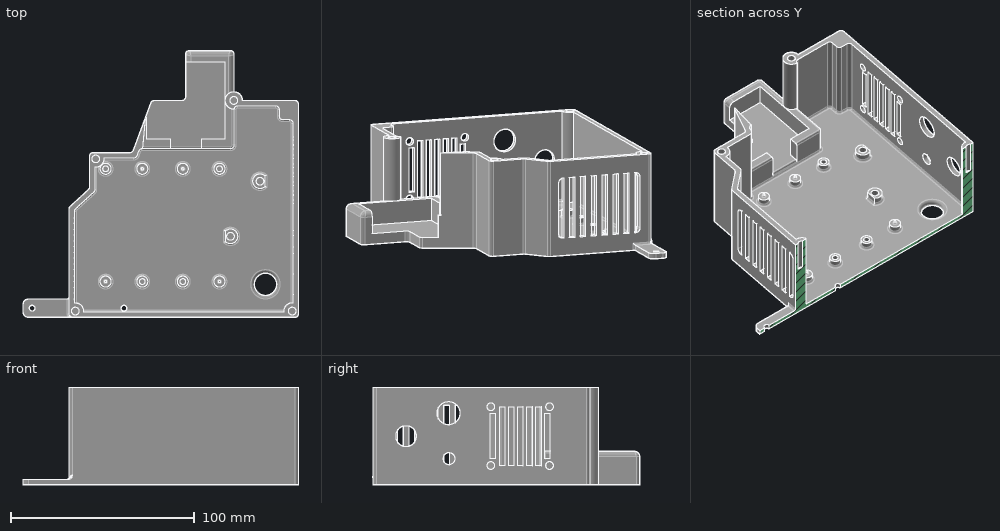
import cadquery as cq
import math

length = 150.0
depth = 145.2
height = 53.0
wall = 3.0
floor = 3.0
small_fillet = 1.0
corner_radius = 2.0
over = 1.5
near = 0.2

left_x = 25.0
notch_low_y = 59.8
notch_x = 36.2
notch_high_y = 70.0
shoulder_y = 89.7
slant_x = 59.5
back_y = 118.0
slant_top_x = 70.0

tab_width = 10.0
tab_thickness = 3.0
tab_radius = 3.0
tab_hole_diameter = 3.0
tab_hole_x = tab_width / 2
floor_hole_x = tab_hole_x + 50.0

tower_left_x = 88.5
tower_right_x = 114.9
tower_fillet = 3.0
terminal_height = 18.3
terminal_front_y = 91.8
pocket_floor = 6.0
pocket_left_x = 67.4
pocket_right_x = 110.0
pocket_front_y = 97.0
pocket_back_y = 139.0
side_opening_y = 108.8
gap_left_x = 80.2
gap_right_x = 97.0
slant_wall_foot_x = 65.1
slant_wall_tip_x = 66.6
slant_wall_tip_y = 107.7

boss_diameter = 9.0
rear_boss_diameter = 9.5
lid_hole_diameter = 4.2
lid_hole_depth = 20.0
lid_inset = 3.5
lid_points = [
    (left_x + lid_inset, lid_inset),
    (length - lid_inset, lid_inset),
    (notch_x + lid_inset, shoulder_y - lid_inset),
]
rear_boss = (114.8, back_y)
corner_block_x = 139.5
corner_block_y = 107.5

mount_diameter = 6.0
mount_height = 4.0
mount_hole_diameter = 3.2
pin_diameter = 1.2
pin_height = 1.5
pin_fillet = 0.5
mount_columns = [45.0, 65.0, 87.0, 107.0]
mount_front_y = 19.5
mount_rear_y = 80.8
flat_mount_diameter = 8.0
flat_mount_height = 4.5
flat_mount_hole_diameter = 4.2
flat_distance = 2.7
flat_mounts = [
    ((129.0, 74.1), 1),
    ((113.0, 44.1), -1),
]

cable_hole_diameter = 12.0
cable_hole_fillet = 2.0
cable_hole_center = (132.0, 18.0)
vent_center_y = 30.6
vent_slot_count = 8
vent_slot_width = 3.0
vent_pitch = 6.3
vent_height = 33.5
vent_corner_radius = 2.5
fan_y = 80.1
fan_hole_spacing = 32.0
fan_hole_diameter = 4.2
fan_slot_count = 7
fan_slot_pitch = 5.0
fan_slot_width = 3.0
fan_slot_height = 32.0
fan_end_slot_height = 24.6
side_holes = [
    (12.5, 41.1, 39.0),
    (6.5, 41.4, 14.2),
    (11.2, 18.0, height / 2),
]


def block(x_range, y_range, z_range):
    """Box between two limits along each axis."""
    sizes = [high - low for low, high in (x_range, y_range, z_range)]
    corner = (x_range[0], y_range[0], z_range[0])
    return cq.Workplane("XY").box(*sizes, centered=False).translate(corner)


def prism(points, bottom, top):
    """Upright prism over a polygon."""
    return cq.Workplane("XY").workplane(offset=bottom).polyline(points).close().extrude(top - bottom)


def cylinder(center, diameter, bottom, top):
    """Upright cylinder."""
    base = cq.Workplane("XY").workplane(offset=bottom).center(*center)
    return base.circle(diameter / 2).extrude(top - bottom)


def side_cylinder(diameter, y, z):
    """Cylinder along X through the right wall."""
    plane = cq.Workplane("YZ", origin=(length - wall - over, 0, 0))
    return plane.center(y, z).circle(diameter / 2).extrude(wall + 2 * over)


diagonal_slope = (notch_x - left_x) / (notch_high_y - notch_low_y)
slant_slope = (slant_top_x - slant_x) / (back_y - shoulder_y)


def diagonal_inner_y(x):
    """Y of the inner face of the diagonal wall at a given X."""
    shift = wall * math.hypot(1, diagonal_slope)
    return notch_low_y + (x - left_x - shift) / diagonal_slope


def slant_outer_x(y):
    """X of the outer face of the slanted wall at a given Y."""
    return slant_x + slant_slope * (y - shoulder_y)


def slant_inner_x(y):
    """X of the inner face of the slanted wall at a given Y."""
    return slant_outer_x(y) + wall * math.hypot(1, slant_slope)


def make_outline_solid(top):
    """Solid over the outer outline, with rounded vertical corners."""
    outline = [
        (left_x, 0),
        (length, 0),
        (length, back_y),
        (tower_right_x, back_y),
        (tower_right_x, depth),
        (tower_left_x, depth),
        (tower_left_x, back_y),
        (slant_top_x, back_y),
        (slant_x, shoulder_y),
        (notch_x, shoulder_y),
        (notch_x, notch_high_y),
        (left_x, notch_low_y),
    ]
    solid = prism(outline, 0, top)
    for x, y in outline:
        if (x, y) != (tower_right_x, back_y):
            corner = cq.selectors.BoxSelector((x - near, y - near, 0), (x + near, y + near, top))
            solid = solid.edges(corner).fillet(corner_radius)
    return solid


def make_tall_solid():
    """Part of the outline solid that reaches the full height."""
    above_terminal = [
        (slant_wall_foot_x, terminal_front_y),
        (tower_right_x, terminal_front_y),
        (tower_right_x, back_y),
        (tower_right_x + over, back_y),
        (tower_right_x + over, depth + over),
        (left_x, depth + over),
        (left_x, slant_wall_tip_y),
        (slant_wall_tip_x, slant_wall_tip_y),
    ]
    return make_outline_solid(height).cut(prism(above_terminal, 0, height + over))


def make_pocket():
    """Terminal pocket, open to the left and to the box."""
    levels = (pocket_floor, terminal_height + over)
    main = block((pocket_left_x, pocket_right_x), (pocket_front_y, pocket_back_y), levels)
    side = block((slant_x, pocket_left_x), (side_opening_y, pocket_back_y), levels)
    gap = block((gap_left_x, gap_right_x), (terminal_front_y, pocket_front_y), levels)
    return main.union(side).union(gap)


def make_cavity():
    """Inside of the box, rounded at its corners and at the floor."""
    inner_left = left_x + wall
    inner_notch = notch_x + wall
    inner_right = length - wall
    inner_shoulder = shoulder_y - wall
    outline = [
        (inner_left, wall),
        (inner_right, wall),
        (inner_right, corner_block_y),
        (corner_block_x, corner_block_y),
        (corner_block_x, back_y - wall),
        (tower_right_x, back_y - wall),
        (tower_right_x, terminal_front_y),
        (slant_inner_x(terminal_front_y), terminal_front_y),
        (slant_inner_x(inner_shoulder), inner_shoulder),
        (inner_notch, inner_shoulder),
        (inner_notch, diagonal_inner_y(inner_notch)),
        (inner_left, diagonal_inner_y(inner_left)),
    ]
    cavity = prism(outline, floor, height + over)
    return cavity.edges("|Z").fillet(corner_radius).faces("<Z").edges().fillet(small_fillet)


def round_tower(body):
    """Round the upper outer edges of the tower."""
    level = terminal_height
    rim_zones = [
        ((tower_left_x - near, pocket_back_y, level - near), (tower_right_x + near, depth + near, level + near)),
        ((tower_right_x - near, back_y, level - near), (tower_right_x + near, depth, level + near)),
    ]
    rim = cq.selectors.BoxSelector(*rim_zones[0]) + cq.selectors.BoxSelector(*rim_zones[1])
    inner_edge = cq.selectors.BoxSelector(
        (tower_left_x, pocket_back_y - near, 0), (tower_right_x - near, pocket_back_y + near, height))
    return body.edges(rim - inner_edge).fillet(tower_fillet)


def make_low_solid():
    """Hollow body up to the terminal height, with the pocket and its rounded edges."""
    body = make_outline_solid(terminal_height).cut(make_cavity())
    body = body.faces(">Z").wires(cq.selectors.AreaNthSelector(0)).edges().fillet(small_fillet)
    body = round_tower(body.cut(make_pocket()))
    gap_sill = cq.selectors.BoxSelector(
        (gap_left_x, terminal_front_y - near, pocket_floor - near),
        (gap_right_x, terminal_front_y + near, pocket_floor + near))
    return body.edges(gap_sill).fillet(small_fillet)


def add_tab(body):
    """Add the mounting tab and blend it into the left wall."""
    tab = block((0, left_x + corner_radius), (0, tab_width), (0, tab_thickness))
    body = body.union(tab.edges("|Z and <X").fillet(tab_radius))
    seam = cq.selectors.BoxSelector(
        (left_x - near, near, 0), (left_x + near, tab_width + near, tab_thickness + near))
    return body.edges(seam).fillet(small_fillet)


def lid_boss(point, diameter):
    """Full-height screw boss."""
    return cylinder(point, diameter, 0, height)


def lid_hole(point):
    """Blind screw hole in the top of a boss."""
    return cylinder(point, lid_hole_diameter, height - lid_hole_depth, height + over)


def flared_post(center, diameter, bottom, top, flare):
    """Round post with a rounded foot."""
    radius = diameter / 2
    profile = (
        cq.Workplane("XZ")
        .moveTo(0, bottom)
        .lineTo(radius + flare, bottom)
        .radiusArc((radius, bottom + flare), flare)
        .lineTo(radius, top)
        .lineTo(0, top)
        .close()
    )
    return profile.revolve(360, (0, 0, 0), (0, 1, 0)).translate((*center, 0))


def add_mount(body, center, has_pin):
    """Add a round board mount with either a locating pin or a screw hole."""
    top = floor + mount_height
    body = body.union(flared_post(center, mount_diameter, floor, top, small_fillet))
    if has_pin:
        return body.union(flared_post(center, pin_diameter, top, top + pin_height, pin_fillet))
    return body.cut(cylinder(center, mount_hole_diameter, floor, top))


def add_flat_mount(body, center, side):
    """Add a taller mount with a screw hole and a flat on one side along X."""
    x, y = center
    radius = flat_mount_diameter / 2
    top = floor + flat_mount_height
    flat = (x + side * flat_distance, x + side * 2 * radius)
    post = cylinder(center, flat_mount_diameter, floor, top)
    post = post.cut(block(sorted(flat), (y - radius, y + radius), (floor, top)))
    body = body.union(post)
    foot = cq.selectors.BoxSelector(
        (x - radius, y - radius, floor - near), (x + radius, y + radius, floor + near))
    body = body.edges(foot).fillet(small_fillet)
    return body.cut(cylinder(center, flat_mount_hole_diameter, floor, top))


def make_vent():
    """Slots through the left wall that share one rounded outline."""
    span = (vent_slot_count - 1) * vent_pitch + vent_slot_width
    plane = cq.Workplane("YZ", origin=(left_x - over, vent_center_y, height / 2))
    outline = plane.rect(span, vent_height).extrude(wall + 2 * over)
    outline = outline.edges("|X").fillet(vent_corner_radius)
    slots = plane.rarray(vent_pitch, 1.5, vent_slot_count, 1).rect(vent_slot_width, vent_height)
    return slots.extrude(wall + 2 * over).intersect(outline)


def make_fan_openings():
    """Slots and four screw holes of the fan in the right wall."""
    plane = cq.Workplane("YZ", origin=(length - wall - over, fan_y, height / 2))
    holes = plane.rect(fan_hole_spacing, fan_hole_spacing, forConstruction=True)
    openings = holes.vertices().circle(fan_hole_diameter / 2).extrude(wall + 2 * over)
    last = fan_slot_count // 2
    for i in range(-last, last + 1):
        slot_height = fan_end_slot_height if abs(i) == last else fan_slot_height
        slot = plane.center(i * fan_slot_pitch, 0).rect(fan_slot_width, slot_height)
        openings = openings.union(slot.extrude(wall + 2 * over))
    return openings


def cut_cable_hole(body):
    """Hole through the floor with a rounded inner rim."""
    body = body.cut(cylinder(cable_hole_center, cable_hole_diameter, -over, floor + over))
    x, y = cable_hole_center
    rim = cq.selectors.BoxSelector((x - near, y - near, floor - near), (x + near, y + near, floor + near))
    return body.edges(rim).fillet(cable_hole_fillet)


tall_solid = make_tall_solid()
tall_parts = tall_solid.union(lid_boss(rear_boss, rear_boss_diameter))
result = make_low_solid().union(tall_parts.cut(make_cavity()))
result = add_tab(result)

result = cut_cable_hole(result)
for mount_center, flat_side in flat_mounts:
    result = add_flat_mount(result, mount_center, flat_side)

for index, column in enumerate(mount_columns):
    inner_column = 0 < index < len(mount_columns) - 1
    result = add_mount(result, (column, mount_front_y), not inner_column)
    result = add_mount(result, (column, mount_rear_y), inner_column)

for hole_x in (tab_hole_x, floor_hole_x):
    result = result.cut(cylinder((hole_x, tab_hole_x), tab_hole_diameter, -over, floor + over))

for lid_point in lid_points:
    result = result.union(lid_boss(lid_point, boss_diameter).intersect(tall_solid))
for lid_point in lid_points + [rear_boss]:
    result = result.cut(lid_hole(lid_point))

result = result.cut(make_vent()).cut(make_fan_openings())
for hole in side_holes:
    result = result.cut(side_cylinder(*hole))